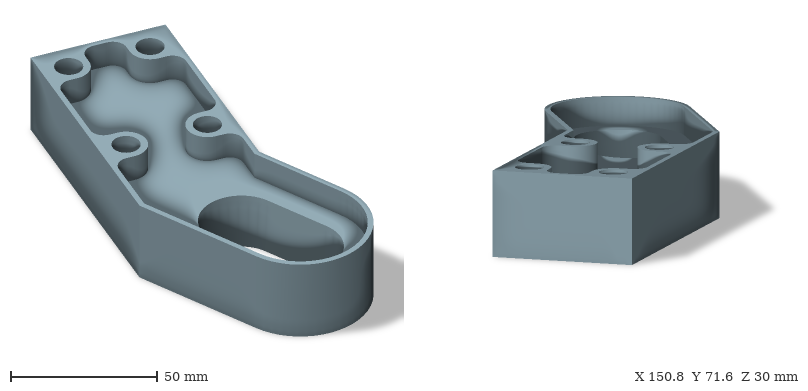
import cadquery as cq
import math

length = 150.8
depth = 71.6
height = 30.0
base_width = 50.0
wall = 2.0
pocket_depth = 10.0

arm_angle = math.radians(30)
arm_radius = 25.0
arm_center_x = length - arm_radius
arm_center_y = depth - arm_radius

slot_travel = 25.0
slot_radius = 15.0
slot_draft = 5.0

hole_diameter = 10.0
hole_margin = 10.0
hole_spacing_x = 50.0
boss_radius = 7.5
pocket_fillet = 5.0

floor_z = height - pocket_depth
hole_columns = (hole_margin, hole_margin + hole_spacing_x)
hole_rows = (hole_margin, base_width - hole_margin)


def body_prism(inset, bottom, top):
    """Prism of the bent outline, with every side moved inward by inset."""
    radius = arm_radius - inset
    low_y = inset
    high_y = base_width - inset
    along_x, along_y = math.cos(arm_angle), math.sin(arm_angle)
    low_tangent = (arm_center_x + radius * along_y, arm_center_y - radius * along_x)
    high_tangent = (arm_center_x - radius * along_y, arm_center_y + radius * along_x)
    arm_tip = (arm_center_x + radius * along_x, arm_center_y + radius * along_y)
    low_bend_x = low_tangent[0] - (low_tangent[1] - low_y) / math.tan(arm_angle)
    high_bend_x = high_tangent[0] - (high_tangent[1] - high_y) / math.tan(arm_angle)
    return (
        cq.Workplane("XY", origin=(0, 0, bottom))
        .moveTo(inset, low_y)
        .lineTo(low_bend_x, low_y)
        .lineTo(*low_tangent)
        .threePointArc(arm_tip, high_tangent)
        .lineTo(high_bend_x, high_y)
        .lineTo(inset, high_y)
        .close()
        .extrude(top - bottom)
    )


def boss(x, y):
    """Round boss joined to the nearest long side, and to the end wall in the first column."""
    side_y = 0 if y < base_width / 2 else base_width
    pad_center = cq.Workplane("XY", origin=(x, (y + side_y) / 2, floor_z))
    solid = cq.Workplane("XY", origin=(x, y, floor_z)).circle(boss_radius).extrude(pocket_depth)
    solid = solid.union(pad_center.rect(2 * boss_radius, hole_margin).extrude(pocket_depth))
    if x == hole_columns[0]:
        pad_width = hole_margin + boss_radius
        pad_y = abs(side_y - pad_width / 2)
        end_pad = cq.Workplane("XY", origin=(x / 2, pad_y, floor_z))
        solid = solid.union(end_pad.rect(x, pad_width).extrude(pocket_depth))
    return solid


def pocket():
    """Open-top pocket that runs around the bosses with rounded inner corners."""
    solid = body_prism(wall, floor_z, height)
    for x in hole_columns:
        for y in hole_rows:
            solid = solid.cut(boss(x, y))
    last_corner_x = hole_columns[-1] + boss_radius
    tolerance = 0.02
    for low, high in (
        ((wall, wall), (wall, base_width - wall)),
        ((wall, wall), (last_corner_x, wall)),
        ((wall, base_width - wall), (last_corner_x, base_width - wall)),
    ):
        region = cq.selectors.BoxSelector(
            (low[0] - tolerance, low[1] - tolerance, floor_z),
            (high[0] + tolerance, high[1] + tolerance, height),
        )
        corners = solid.edges("|Z").edges(region)
        solid = corners.fillet(pocket_fillet)
    return solid


def arm_slot():
    """Drafted slot along the arm, widest at the pocket floor."""
    center_x = arm_center_x - slot_travel / 2 * math.cos(arm_angle)
    center_y = arm_center_y - slot_travel / 2 * math.sin(arm_angle)
    return (
        cq.Workplane("XY", origin=(center_x, center_y, floor_z))
        .slot2D(slot_travel + 2 * slot_radius, 2 * slot_radius, math.degrees(arm_angle))
        .extrude(-floor_z, taper=slot_draft)
    )


def screw_holes():
    """Through holes on the boss centres."""
    centers = [(x, y) for x in hole_columns for y in hole_rows]
    return cq.Workplane("XY").pushPoints(centers).circle(hole_diameter / 2).extrude(height)


result = body_prism(0, 0, height).cut(pocket()).cut(arm_slot()).cut(screw_holes())